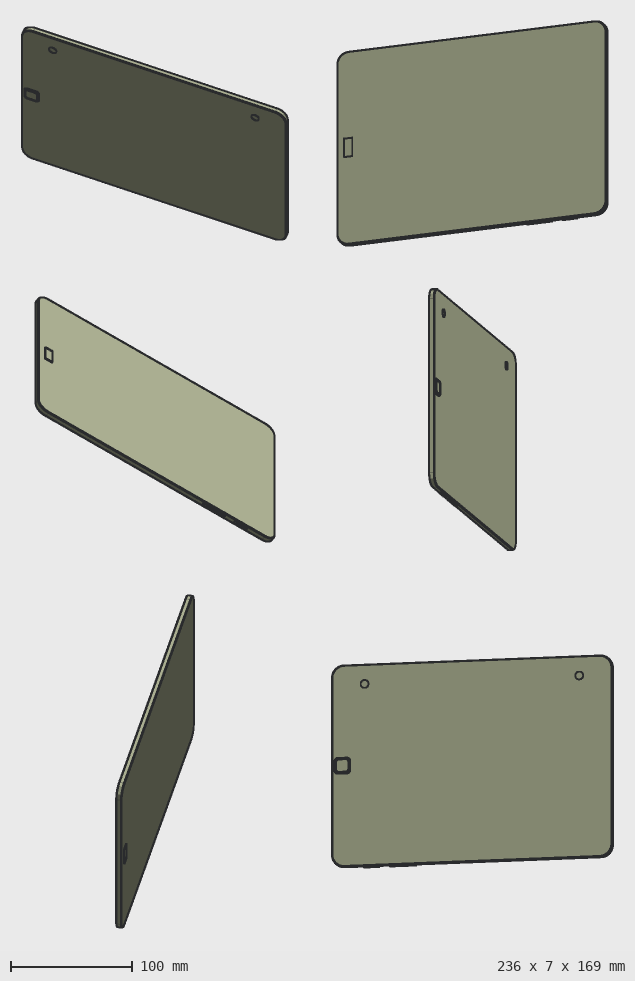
import cadquery as cq

length = 236.0
height = 168.0
thickness = 5.0
corner_radius = 10.1
edge_chamfer = 0.7
front_y = -thickness / 2
back_y = thickness / 2

overlap = 0.5

camera_size = 13.5
camera_x = -109.0
camera_z = 84.3
camera_rise = 1.0
camera_corner = 3.0
camera_chamfer = 1.0
window_size = 10.1
window_corner = 2.0
window_depth = 0.5

recess_diameter = 6.5
recess_spacing = 180.8
recess_from_top = 16.3
recess_depth = 0.5

pad_width = 7.0
pad_height = 16.0
pad_rise = 1.0
pad_x = 107.9

buttons = [(-85.2, 12.5), (-58.5, 21.7)]
button_width = 2.1
button_rise = 1.0


def rounded_block(size_x, size_y, size_z, center, radius):
    """Block with its edges along Y rounded."""
    return cq.Workplane("XY").box(size_x, size_y, size_z).edges("|Y").fillet(radius).translate(center)


def make_body():
    body = rounded_block(length, thickness, height, (0, 0, height / 2), corner_radius)
    return body.faces("<Y or >Y").edges().chamfer(edge_chamfer)


def make_camera():
    depth = camera_rise + overlap
    center = (camera_x, front_y - camera_rise + depth / 2, camera_z)
    bump = rounded_block(camera_size, depth, camera_size, center, camera_corner)
    return bump.faces("<Y").edges().chamfer(camera_chamfer)


def make_window():
    center = (camera_x, front_y - camera_rise + window_depth / 2, camera_z)
    return rounded_block(window_size, window_depth, window_size, center, window_corner)


def make_recesses():
    return (
        cq.Workplane("XZ", origin=(0, front_y, height - recess_from_top))
        .pushPoints([(-recess_spacing / 2, 0), (recess_spacing / 2, 0)])
        .circle(recess_diameter / 2)
        .extrude(-recess_depth)
    )


def make_pad():
    depth = pad_rise + overlap
    center = (pad_x, back_y + pad_rise - depth / 2, camera_z)
    return cq.Workplane("XY").box(pad_width, depth, pad_height).translate(center)


def make_button(center_x, button_length):
    depth = button_rise + overlap
    center = (center_x, 0, depth / 2 - button_rise)
    button = cq.Workplane("XY").box(button_length, button_width, depth)
    return button.translate(center)


result = make_body().union(make_camera()).union(make_pad())
for center_x, button_length in buttons:
    result = result.union(make_button(center_x, button_length))
result = result.cut(make_window()).cut(make_recesses())